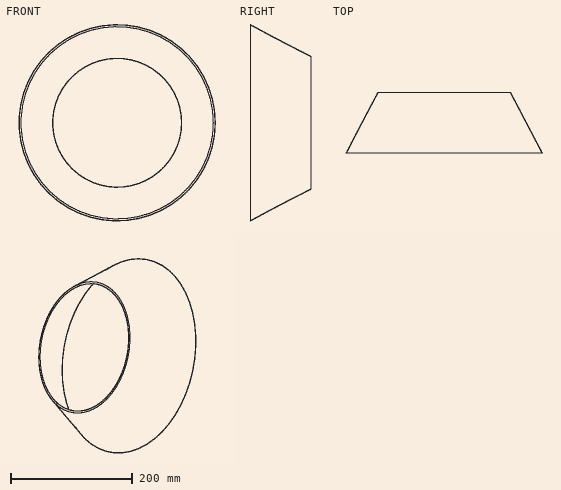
import cadquery as cq
import math

large_diameter = 324.0
small_diameter = 219.0
length = 100.0
wall = 3.0

large_radius = large_diameter / 2
small_radius = small_diameter / 2

slope_angle = math.atan2(large_radius - small_radius, length)
rim_width = wall / math.cos(slope_angle)

wide_y = -length / 2
narrow_y = length / 2

wall_section = (
    cq.Workplane("XY")
    .moveTo(large_radius, wide_y)
    .lineTo(small_radius, narrow_y)
    .lineTo(small_radius - rim_width, narrow_y)
    .lineTo(large_radius - rim_width, wide_y)
    .close()
)

result = wall_section.revolve(360, (0, 0, 0), (0, 1, 0))